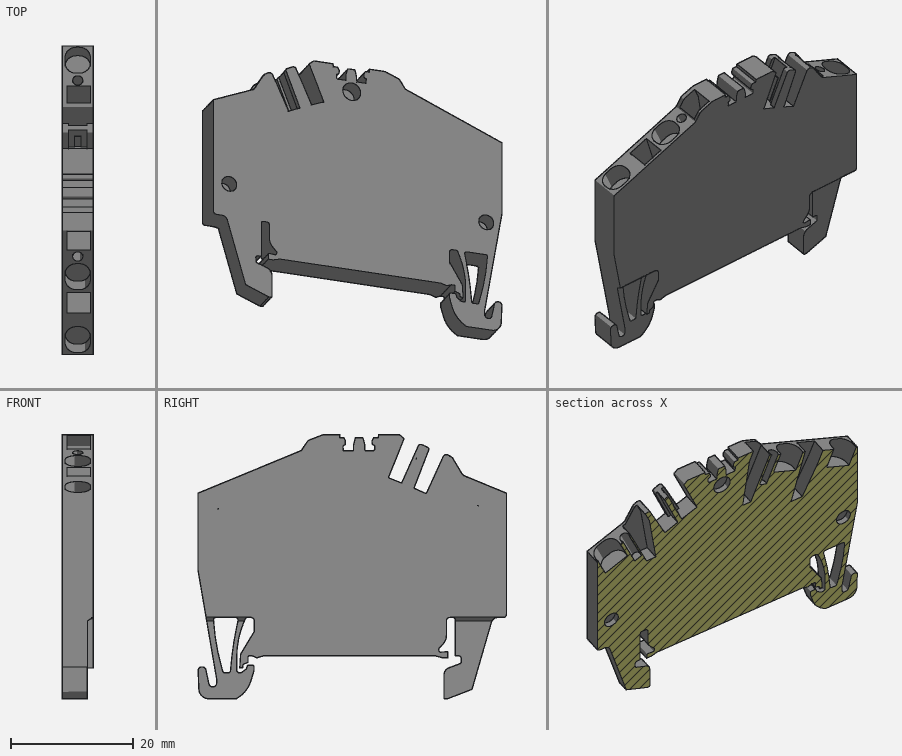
import cadquery as cq
import math

THICKNESS = 5.1
LENGTH = 50.5
HEIGHT = 43.25
MID_X = THICKNESS / 2
LEFT_Y = LENGTH / 2
RIGHT_Y = -LENGTH / 2

SHOULDER_Z = 33.66
ROOF_ANGLE = 22.4
LEAN = math.tan(math.radians(ROOF_ANGLE))
RIGHT_SHOULDER_TOP = (-8.35, 40.64)
LEFT_SHOULDER_TOP = (18.08, 36.62)
SLOT_TOP_Z = 13.3
RAIL_Z = 7.04
MARKER_FLOOR_Z = 40.62
MARKER_TOP_Z = 42.75
MARGIN = 1.0
CLEAR_Z = HEIGHT + MARGIN

FOOT_THICKNESS = 4.13
FOOT_STEP_Z = 12.75
FOOT_STEP_TOP_Z = 13.4

FIN_OUTER_BASE = (10.11, 34.48)
FIN_OUTER_TIP = (12.65, 41.04)
FIN_INNER_TIP = (10.97, 41.81)
FIN_INNER_BASE = (8.07, 35.34)

FINS = [
    (LEFT_Y, SHOULDER_Z, 0),
    (*LEFT_SHOULDER_TOP, 1.0),
    (16.37, 39.52, 1.0),
    (15.12, 40.22, 0.6),
    (12.10, 33.60, 0),
    (*FIN_OUTER_BASE, 0),
    (*FIN_OUTER_TIP, 0.4),
    (*FIN_INNER_TIP, 0.5),
    (*FIN_INNER_BASE, 0),
    (5.93, 36.19, 0),
    (8.50, 42.60, 0.3),
    (7.70, HEIGHT, 0.3),
]
MARKER_GROOVES = [
    (4.32, HEIGHT, 0),
    (4.22, MARKER_TOP_Z, 0),
    (3.49, MARKER_TOP_Z, 0.15),
    (3.18, 42.10, 0.2),
    (3.30, 41.60, 0.15),
    (3.68, 41.44, 0.15),
    (3.68, MARKER_FLOOR_Z, 0.25),
    (2.09, MARKER_FLOOR_Z, 0),
    (2.06, 41.59, 0),
    (1.76, MARKER_TOP_Z, 0.2),
    (0.49, MARKER_TOP_Z, 0.2),
    (0.20, 41.59, 0),
    (0.17, MARKER_FLOOR_Z, 0),
    (-1.45, MARKER_FLOOR_Z, 0),
    (-1.50, 41.44, 0.15),
    (-1.12, 41.55, 0.15),
    (-1.12, 42.26, 0.2),
    (-1.36, MARKER_TOP_Z, 0.1),
    (-2.03, MARKER_TOP_Z, 0),
    (-2.03, HEIGHT, 0),
]
RIGHT_SHOULDER = [
    (-4.75, HEIGHT, 1.2),
    (-7.24, 42.28, 1.1),
    (*RIGHT_SHOULDER_TOP, 0.3),
    (RIGHT_Y, SHOULDER_Z, 0.2),
    (RIGHT_Y, 21.1, 1.8),
]
RIGHT_FOOT = [
    (-22.20, 3.30, 0),
    (-22.20, 2.00, 0.6),
    (-23.33, 2.00, 0.6),
    (-24.03, 5.26, 0.65),
    (RIGHT_Y, 5.26, 0.6),
    (-25.05, 0, 1.7),
    (-19.00, 0, 0.3),
    (-17.05, 1.28, 5.0),
    (-16.05, 4.67, 0.5),
    (-16.05, 5.54, 0.25),
    (-17.15, 5.54, 0.25),
    (-17.30, 4.95, 0.3),
    (-18.15, 4.30, 0.3),
    (-18.88, 4.30, 0.4),
    (-18.88, 9.80, 15.0),
    (-17.41, SLOT_TOP_Z, 0.4),
    (-16.05, SLOT_TOP_Z, 0.5),
]
RAIL_SEAT = [
    (-16.05, 11.02, 0.3),
    (-18.28, 7.30, 0.6),
    (-18.42, 5.06, 0),
    (-17.92, 5.10, 0.1),
    (-17.83, 5.64, 0.1),
    (-17.02, 5.98, 0),
    (-17.02, RAIL_Z, 0.2),
    (-16.35, RAIL_Z, 0),
    (-15.60, 6.71, 0.3),
    (-14.51, RAIL_Z, 0),
    (13.60, RAIL_Z, 0),
    (14.78, 6.71, 0.3),
    (15.64, 6.71, 0),
    (15.64, 7.76, 0.15),
    (14.30, 7.66, 0.2),
    (14.10, 8.15, 0.2),
    (15.42, 9.60, 2.0),
    (15.42, SLOT_TOP_Z, 0.5),
]
LEFT_FOOT = [
    (16.83, SLOT_TOP_Z, 0.3),
    (16.83, RAIL_Z, 0.15),
    (17.80, RAIL_Z, 0.4),
    (17.80, 5.85, 0.25),
    (14.98, 4.80, 1.3),
    (14.98, 0, 0.2),
    (15.55, 0, 0),
    (19.60, 1.56, 0.1),
    (23.00, SLOT_TOP_Z, 1.0),
    (LEFT_Y, SLOT_TOP_Z, 0.6),
]
SPRING_WINDOW = [
    (-18.60, SLOT_TOP_Z, 0.4),
    (-22.69, SLOT_TOP_Z, 0.3),
    (-22.42, 9.00, 36.0),
    (-21.10, 4.30, 0.3),
    (-19.95, 4.30, 0.3),
    (-19.65, 8.30, 52.0),
]

RIGHT_THIN_AREA = [
    (-16.60, FOOT_STEP_Z),
    (-16.60, 11.10),
    (-18.55, 7.60),
    (-18.65, 4.70),
    (-18.00, 4.85),
    (-17.15, 5.75),
    (-15.80, 5.75),
    (-15.80, -MARGIN),
    (RIGHT_Y - MARGIN, -MARGIN),
    (RIGHT_Y - MARGIN, FOOT_STEP_Z),
]
LEFT_THIN_AREA = [
    (16.10, FOOT_STEP_Z),
    (16.10, 6.30),
    (14.70, 6.30),
    (14.70, -MARGIN),
    (LEFT_Y + MARGIN, -MARGIN),
    (LEFT_Y + MARGIN, FOOT_STEP_Z),
]

SOCKET_DEPTH = 3.0
SOCKETS = [(22.47, 19.07, 2.6), (1.05, 38.75, 3.1), (-22.47, 19.07, 2.6)]

ENTRY_WIDTH = 4.15
ENTRY_LENGTH = 4.6
ENTRY_CORNER = 1.83
ENTRY_DEPTH = 3.65
RIGHT_ENTRY_Y = (-12.5, -22.8)
LEFT_ENTRY_Y = 22.9
PROBE_DIAMETER = 1.65
PROBE_DEPTH = 6.0
RIGHT_PROBE_Y = -9.2
LEFT_PROBE_Y = 19.6

POCKET_X = (0.77, 4.6)
STEEP_LEAN = 0.14
MIDDLE_LEAN = 0.276
FLAT_LEAN = 0.5

RIGHT_RAMP_POCKET = (
    (-5.11, 43.2, (LEAN, 41.3), (STEEP_LEAN, 32.0)),
    (-8.16, 40.9, (LEAN, 32.0)),
)
RIGHT_SHOULDER_POCKET = (
    (-15.12, 37.85, (MIDDLE_LEAN, 28.0)),
    (-18.48, 36.46, (LEAN, 34.0), (FLAT_LEAN, 28.0)),
)
LEFT_RAMP_POCKET = (
    (15.94, 39.8, (-LEAN, 37.9), (-STEEP_LEAN, 29.0)),
    (18.69, 36.4, (-LEAN, 29.0)),
)

WEB_X = (1.0, 4.1)
OUTER_RECESS = 0.45
INNER_RECESS = 0.6
WINDOW_X = (2.05, 3.1)
WINDOW_HEIGHT = 3.8
WINDOW_DEPTH = 0.15


def rounded_outline(corners):
    """Closed wire through (y, z, radius) corners, each rounded by a tangent arc."""
    ends = []
    for i, (y, z, radius) in enumerate(corners):
        corner = cq.Vector(y, z)
        to_last = (cq.Vector(*corners[i - 1][:2]) - corner).normalized()
        to_next = (cq.Vector(*corners[(i + 1) % len(corners)][:2]) - corner).normalized()
        half_angle = to_last.getAngle(to_next) / 2
        reach = radius / math.tan(half_angle)
        bisector = (to_last + to_next).normalized()
        middle = corner + bisector * (radius / math.sin(half_angle) - radius)
        ends.append((corner + to_last * reach, middle, corner + to_next * reach, radius))
    path = cq.Workplane("YZ").moveTo(*ends[0][2].toTuple()[:2])
    for start, middle, end, radius in ends[1:] + ends[:1]:
        path = path.lineTo(start.x, start.y)
        if radius > 0:
            path = path.threePointArc((middle.x, middle.y), (end.x, end.y))
    return path.close()


def prism(points, x_range):
    """Polygon of (y, z) points extruded between two X positions."""
    flat = cq.Workplane("YZ", origin=(x_range[0], 0, 0)).polyline(points).close()
    return flat.extrude(x_range[1] - x_range[0])


def shoulder_plane(y, side):
    """Plane lying on a shoulder at y; side is 1 for the +Y shoulder and -1 for the -Y one."""
    top_y, top_z = LEFT_SHOULDER_TOP if side > 0 else RIGHT_SHOULDER_TOP
    end_y = LEFT_Y if side > 0 else RIGHT_Y
    z = top_z + (SHOULDER_Z - top_z) * (y - top_y) / (end_y - top_y)
    angle = math.radians(ROOF_ANGLE)
    normal = (0, side * math.sin(angle), math.cos(angle))
    return cq.Plane(origin=(MID_X, y, z), xDir=(1, 0, 0), normal=normal)


def body():
    corners = FINS + MARKER_GROOVES + RIGHT_SHOULDER + RIGHT_FOOT + RAIL_SEAT + LEFT_FOOT
    profile = rounded_outline(corners).extrude(THICKNESS)
    return profile.cut(rounded_outline(SPRING_WINDOW).extrude(THICKNESS))


def foot_relief(area):
    """Material removed from the +X side of one foot, ending in a sloped step at the top."""
    beyond_x = THICKNESS + MARGIN
    flat = prism(area, (FOOT_THICKNESS, beyond_x))
    inner_y = area[0][0]
    outer_y = area[-1][0]
    step = (
        cq.Workplane("XZ", origin=(0, max(inner_y, outer_y), 0))
        .moveTo(FOOT_THICKNESS, FOOT_STEP_Z)
        .lineTo(THICKNESS, FOOT_STEP_TOP_Z)
        .lineTo(THICKNESS, FOOT_STEP_Z)
        .close()
        .extrude(abs(outer_y - inner_y))
    )
    return flat.union(step)


def socket(y, z, diameter):
    return cq.Workplane("YZ").center(y, z).circle(diameter / 2).extrude(SOCKET_DEPTH)


def wire_entry(y, side):
    block = cq.Workplane(shoulder_plane(y, side)).rect(ENTRY_WIDTH, ENTRY_LENGTH)
    block = block.extrude(ENTRY_DEPTH, both=True)
    rounded = block.edges(cq.selectors.ParallelDirSelector(shoulder_plane(y, side).zDir))
    return rounded.fillet(ENTRY_CORNER)


def probe_hole(y, side):
    return cq.Workplane(shoulder_plane(y, side)).circle(PROBE_DIAMETER / 2).extrude(PROBE_DEPTH, both=True)


def wall(y, z, *stretches):
    """Points of a pocket wall from its rim down; each stretch is (lean, lower end z)."""
    points = [(y, CLEAR_Z), (y, z)]
    for lean, lower_z in stretches:
        y += lean * (z - lower_z)
        z = lower_z
        points.append((y, z))
    return points


def pocket(inner_wall, outer_wall):
    return prism(inner_wall + outer_wall[::-1], POCKET_X)


def screwdriver_pockets():
    walls = [RIGHT_RAMP_POCKET, RIGHT_SHOULDER_POCKET, LEFT_RAMP_POCKET]
    return [pocket(wall(*inner), wall(*outer)) for inner, outer in walls]


def wall_recess(top, bottom, depth, x_range):
    """Shallow recess behind the wall line from top to bottom, both (y, z); depth is along Y."""
    (top_y, top_z), (bottom_y, bottom_z) = top, bottom
    points = [top, bottom, (bottom_y + depth, bottom_z - depth * LEAN), (top_y + depth, top_z)]
    return prism(points, x_range)


def point_on_line(start, end, z):
    share = (z - start[1]) / (end[1] - start[1])
    return (start[0] + share * (end[0] - start[0]), z)


def fin_web_recesses():
    """Recesses that thin the fin from both sides, and a shallow window deeper in its inner side."""
    above = FIN_INNER_TIP[1] + MARGIN
    outer_top = point_on_line(FIN_OUTER_BASE, FIN_OUTER_TIP, above)
    inner_top = point_on_line(FIN_INNER_BASE, FIN_INNER_TIP, above)
    window_top = point_on_line(FIN_INNER_BASE, FIN_INNER_TIP, FIN_INNER_BASE[1] + WINDOW_HEIGHT)
    return [
        wall_recess(outer_top, FIN_OUTER_BASE, -OUTER_RECESS, WEB_X),
        wall_recess(inner_top, FIN_INNER_BASE, INNER_RECESS, WEB_X),
        wall_recess(window_top, FIN_INNER_BASE, INNER_RECESS + WINDOW_DEPTH, WINDOW_X),
    ]


result = body()
cuts = [foot_relief(RIGHT_THIN_AREA), foot_relief(LEFT_THIN_AREA)]
cuts += [socket(*place) for place in SOCKETS]
cuts += [wire_entry(y, -1) for y in RIGHT_ENTRY_Y]
cuts += [wire_entry(LEFT_ENTRY_Y, 1)]
cuts += [probe_hole(RIGHT_PROBE_Y, -1), probe_hole(LEFT_PROBE_Y, 1)]
cuts += screwdriver_pockets()
cuts += fin_web_recesses()
for cutter in cuts:
    result = result.cut(cutter)